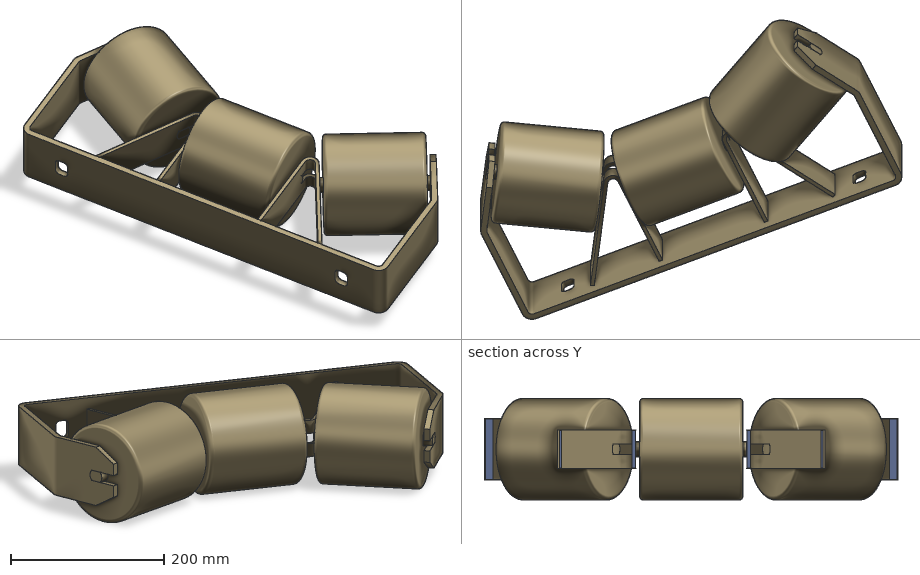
import cadquery as cq
import math

frame_length = 540
frame_height = 80
plate = 8
bend_inner_radius = 6
bend_outer_radius = bend_inner_radius + plate
tilt = 30
arm_corner_y = 150.64
arm_length = 100
arm_chamfer = 30

hole_spacing = 416
hole_width = 18
hole_height = 25
hole_corner_radius = 6

roller_diameter = 133
roller_length = 135
roller_edge_radius = 5
roller_gap = 5
shaft_diameter = 20
shaft_flat_width = 14
shaft_from_arm_end = 30
centre_shaft_y = 125

bracket_plate = 5
bracket_height = 50
bracket_outer_radius = 12
bracket_inner_radius = bracket_outer_radius - bracket_plate
foot_overlap = 0.5

span = roller_length + 2 * roller_gap
sin_tilt = math.sin(math.radians(tilt))
cos_tilt = math.cos(math.radians(tilt))
half_frame = frame_length / 2


def along_arm(point, up, inward):
    """Shift a left-hand point up the tilted arm and inwards, at right angles to it."""
    x = point[0] + up * sin_tilt + inward * cos_tilt
    y = point[1] + up * cos_tilt - inward * sin_tilt
    return (x, y)


def mirrored(points):
    return [(-x, y) for x, y in reversed(points)]


arm_corner = (-half_frame, arm_corner_y)
inner_drop = plate * math.tan(math.radians(tilt / 2))
arm_inner_corner = (-half_frame + plate, arm_corner_y - inner_drop)
arm_tip = along_arm(arm_corner, arm_length, 0)
side_shaft = along_arm(arm_corner, arm_length - shaft_from_arm_end, 0)
side_seat = along_arm(side_shaft, 0, plate + span)
centre_seat = (-span / 2, centre_shaft_y)

side_plane = cq.Plane(
    origin=(*side_shaft, 0), xDir=(sin_tilt, cos_tilt, 0), normal=(cos_tilt, -sin_tilt, 0)
)
centre_plane = cq.Plane(
    origin=(centre_seat[0] - bracket_plate, centre_shaft_y, 0), xDir=(0, 1, 0), normal=(1, 0, 0)
)


def flatted_bar(plane, start, length):
    """Length of shaft with two flats."""
    bar = cq.Workplane(plane).workplane(offset=start).circle(shaft_diameter / 2).extrude(length)
    flats = cq.Workplane(plane).workplane(offset=start)
    flats = flats.rect(shaft_diameter, shaft_flat_width).extrude(length)
    return bar.intersect(flats)


def shaft_slot(plane, start, depth, reach):
    """Cutter for a slot that seats the flatted shaft and opens along local X."""
    channel = cq.Workplane(plane).workplane(offset=start)
    channel = channel.center(reach / 2, 0).rect(reach, shaft_flat_width).extrude(depth)
    return flatted_bar(plane, start, depth).union(channel)


def make_roller(plane, first_plate, second_plate):
    """Roller on its shaft; the flatted shaft ends are as long as the plates are thick."""
    drum = cq.Workplane(plane).workplane(offset=first_plate + roller_gap)
    drum = drum.circle(roller_diameter / 2).extrude(roller_length)
    drum = drum.edges().fillet(roller_edge_radius)
    shaft = cq.Workplane(plane).workplane(offset=first_plate)
    shaft = shaft.circle(shaft_diameter / 2).extrude(span)
    first_end = flatted_bar(plane, 0, first_plate)
    second_end = flatted_bar(plane, first_plate + span, second_plate)
    return drum.union(shaft).union(first_end).union(second_end)


def strip(outline, height):
    return cq.Workplane("XY").polyline(outline).close().extrude(height / 2, both=True)


def make_tray():
    """Bent strip of the frame, with its mounting holes."""
    outer = [(-half_frame, 0), arm_corner, arm_tip]
    inner = [along_arm(arm_tip, 0, plate), arm_inner_corner, (-half_frame + plate, plate)]
    left = outer + inner
    tray = strip(left + mirrored(left), frame_height)

    outer_bends = outer[:2] + mirrored(outer[:2])
    inner_bends = inner[1:] + mirrored(inner[1:])
    for bends, radius in ((outer_bends, bend_outer_radius), (inner_bends, bend_inner_radius)):
        for x, y in bends:
            corner = cq.selectors.NearestToPointSelector((x, y, 0))
            tray = tray.edges("|Z").edges(corner).fillet(radius)

    holes = cq.Workplane("XZ").pushPoints([(-hole_spacing / 2, 0), (hole_spacing / 2, 0)])
    holes = holes.rect(hole_width, hole_height).extrude(-plate)
    return tray.cut(holes.edges("|Y").fillet(hole_corner_radius))


def arm_end_cuts():
    """Cutters for the two chamfers and the open slot at the tip of the left arm."""
    drop = arm_chamfer * math.tan(math.radians(tilt))
    tip = shaft_from_arm_end
    edge = frame_height / 2
    corner = [(tip, edge), (tip - arm_chamfer, edge), (tip, edge - drop)]
    chamfer = cq.Workplane(side_plane).polyline(corner).close().extrude(plate)
    slot = shaft_slot(side_plane, 0, plate, tip)
    return slot.union(chamfer).union(chamfer.mirror("XY"))


def make_bracket():
    """Left bracket: upright leg, rounded fold and tilted leg, slotted for both shafts."""
    fold_x = centre_seat[0] - bracket_outer_radius
    seat_offset = side_seat[0] * cos_tilt - side_seat[1] * sin_tilt
    fold_y = (fold_x * cos_tilt - bracket_outer_radius - seat_offset) / sin_tilt
    fold = (fold_x, fold_y)

    def fold_points(radius):
        """Start, top and end of the fold, from the upright leg to the tilted leg."""
        return (fold_x + radius, fold_y), (fold_x, fold_y + radius), along_arm(fold, 0, -radius)

    outer_start, outer_top, outer_end = fold_points(bracket_outer_radius)
    inner_start, inner_top, inner_end = fold_points(bracket_inner_radius)
    leg_length = (inner_end[1] - plate + foot_overlap) / cos_tilt

    bracket = (
        cq.Workplane("XY")
        .moveTo(outer_start[0], plate)
        .lineTo(*outer_start)
        .threePointArc(outer_top, outer_end)
        .lineTo(*along_arm(outer_end, -leg_length, 0))
        .lineTo(*along_arm(inner_end, -leg_length, 0))
        .lineTo(*inner_end)
        .threePointArc(inner_top, inner_start)
        .lineTo(inner_start[0], plate)
        .close()
        .extrude(bracket_height / 2, both=True)
    )

    reach = 3 * bracket_outer_radius
    upright_slot = shaft_slot(
        centre_plane, bracket_plate - bracket_outer_radius, bracket_outer_radius, reach
    )
    tilted_slot = shaft_slot(side_plane, plate + span, bracket_outer_radius, reach)
    return bracket.cut(upright_slot).cut(tilted_slot)


def make_frame():
    """Tray, both brackets and the fixed centre roller as one solid."""
    cuts = arm_end_cuts()
    bracket = make_bracket()
    frame = make_tray().cut(cuts).cut(cuts.mirror("YZ"))
    frame = frame.union(bracket, clean=False).union(bracket.mirror("YZ"), clean=False)
    centre_roller = make_roller(centre_plane, bracket_plate, bracket_plate)
    return frame.union(centre_roller, clean=False)


frame = make_frame()
left_roller = make_roller(side_plane, plate, bracket_plate)
side_rollers = [left_roller, left_roller.mirror("YZ")]

result = cq.Compound.makeCompound([frame.val(), *[roller.val() for roller in side_rollers]])